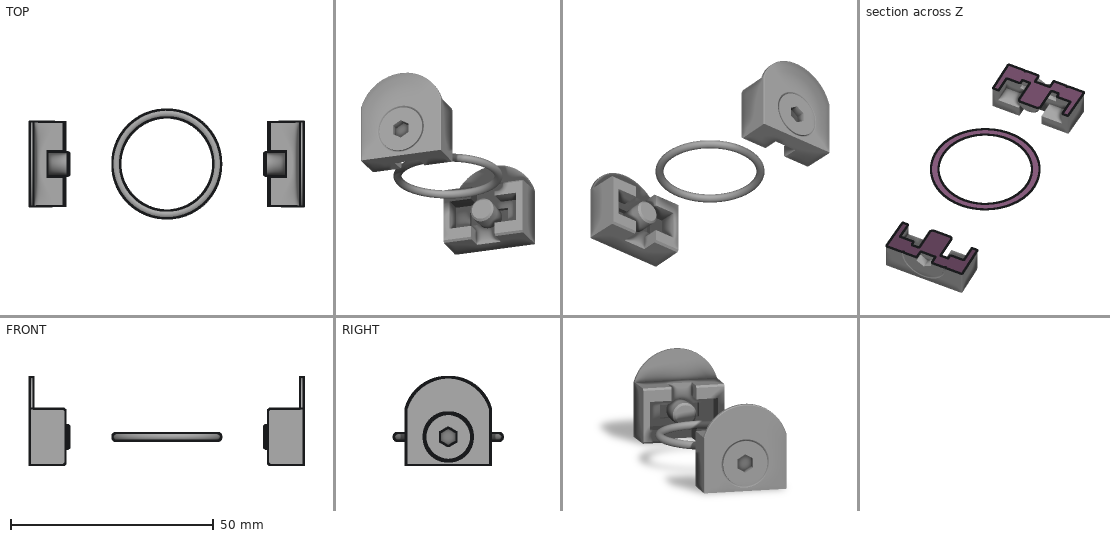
import cadquery as cq

ring_outer_dia = 27.0
ring_wire_dia = 2.0

overall_length = 68.0
overall_height = 21.9
axis_height = 7.0
block_height = 2 * axis_height
block_depth = 9.0
block_outer_width = 21.1
block_mouth_width = 20.8
mouth_chamfer = 0.5

plate_thickness = 1.05
outer_edge_chamfer = 0.2

throat_width = 6.3
throat_depth = 4.5
pocket_width = 17.5
pocket_height = 7.2
tab_slot_width = 10.0
tab_slot_height = 3.5
tab_slot_depth = 1.2

shank_dia = 6.0
shank_tip = 10.0
shank_chamfer = 0.5
head_dia = 11.34
head_recess_dia = 12.2
head_groove_depth = (head_recess_dia - head_dia) / 2
socket_across_flats = 4.0
socket_depth = 2.2

bottom_z = -axis_height
top_z = overall_height - axis_height
block_top_z = bottom_z + block_height
throat_floor_x = block_depth - throat_depth


def make_ring():
    wire_radius = ring_wire_dia / 2
    centre_radius = ring_outer_dia / 2 - wire_radius
    return cq.Workplane("XZ").center(centre_radius, 0).circle(wire_radius).revolve(
        360, (-centre_radius, 0, 0), (-centre_radius, 1, 0)
    )


def make_plate():
    """Flat-bottomed plate with an arched top."""
    half_width = block_outer_width / 2
    plate = (
        cq.Workplane("YZ")
        .moveTo(-half_width, bottom_z)
        .lineTo(half_width, bottom_z)
        .lineTo(half_width, block_top_z)
        .threePointArc((0, top_z), (-half_width, block_top_z))
        .close()
        .extrude(plate_thickness)
    )
    return plate.intersect(make_tapered_prism(overall_height))


def make_tapered_prism(height):
    """Prism whose sides narrow slightly from the outer face to the mouth."""
    half_outer = block_outer_width / 2
    half_mouth = block_mouth_width / 2
    return (
        cq.Workplane("XY")
        .workplane(offset=bottom_z)
        .polyline(
            [
                (0, -half_outer),
                (block_depth, -half_mouth),
                (block_depth, half_mouth),
                (0, half_outer),
            ]
        )
        .close()
        .extrude(height)
    )


def make_block():
    block = make_tapered_prism(block_height)
    return block.faces(">X").edges("|Y").chamfer(mouth_chamfer)


def box_from(start_x, depth, width, height):
    """Box centred on the screw axis that starts at start_x and runs toward +X."""
    return cq.Workplane("YZ").workplane(offset=start_x).rect(width, height).extrude(depth)


def make_t_slot():
    throat = box_from(throat_floor_x, throat_depth, throat_width, block_height)
    pocket = box_from(throat_floor_x, throat_depth, pocket_width, pocket_height)
    tab_slot = box_from(throat_floor_x - tab_slot_depth, tab_slot_depth, tab_slot_width, tab_slot_height)
    return throat.union(pocket).union(tab_slot)


def make_shank():
    start_x = throat_floor_x - tab_slot_depth
    shank = cq.Workplane("YZ").workplane(offset=start_x).circle(shank_dia / 2).extrude(shank_tip - start_x)
    return shank.faces(">X").chamfer(shank_chamfer)


def make_head_groove():
    """Groove around the screw head with a straight inner wall and a 45 degree outer wall."""
    return (
        cq.Workplane("XY")
        .polyline([(0, head_dia / 2), (0, head_recess_dia / 2), (head_groove_depth, head_dia / 2)])
        .close()
        .revolve(360, (0, 0, 0), (1, 0, 0))
    )


def make_hex_socket():
    hex_sketch = cq.Sketch().regularPolygon(socket_across_flats / 3**0.5, 6)
    return cq.Workplane("YZ").placeSketch(hex_sketch).extrude(socket_depth)


def make_end_piece():
    body = make_block().union(make_plate())
    side_and_arch_edges = body.faces("<X").edges("not <Z")
    body = side_and_arch_edges.chamfer(outer_edge_chamfer)
    body = body.cut(make_t_slot()).union(make_shank())
    return body.cut(make_head_groove()).cut(make_hex_socket())


ring = make_ring()
end_pieces = []
for turn in (0, 180):
    end_piece = make_end_piece().translate((-overall_length / 2, 0, 0))
    end_pieces.append(end_piece.rotate((0, 0, 0), (0, 0, 1), turn).val())

result = cq.Compound.makeCompound([ring.val(), *end_pieces])